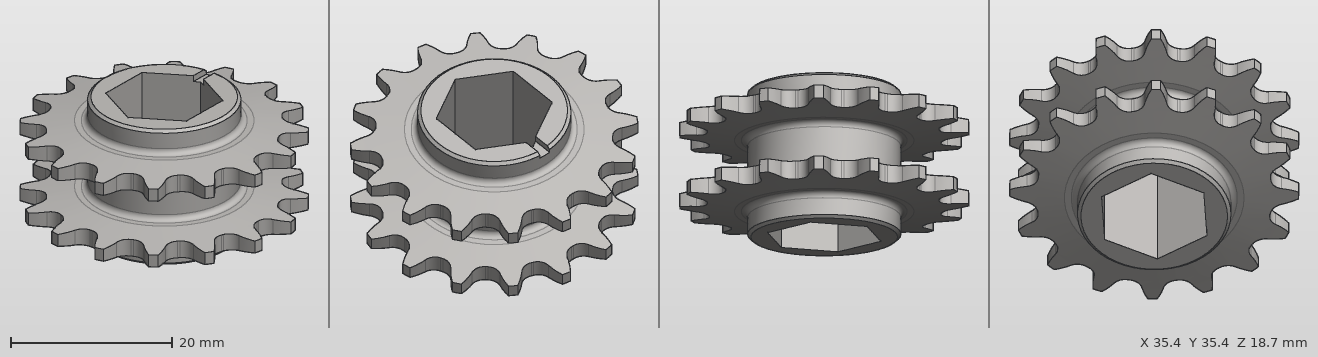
import cadquery as cq
import math


OVERALL_WIDTH = 35.38
TOOTH_COUNT = 16
HALF_PITCH_ANGLE = math.pi / TOOTH_COUNT
TIP_WIDTH = 1.15
TIP_CHORD_DISTANCE = (OVERALL_WIDTH - TIP_WIDTH * math.sin(HALF_PITCH_ANGLE)) / 2 / math.cos(HALF_PITCH_ANGLE)
TIP_RADIUS = math.hypot(TIP_CHORD_DISTANCE, TIP_WIDTH / 2)
ROOT_RADIUS = 14.72
ROOT_FLAT_WIDTH = 0.32
SEAT_RADIUS = 1.75
SEAT_ANGLE = math.radians(66)

DISC_OFFSET = 4.55
DISC_THICKNESS = 3.0
DISC_FLAT_RADIUS = 11.15
TIP_THICKNESS = 1.65

HUB_RADIUS = 9.5
HUB_LENGTH = 18.68
HUB_FILLET = 0.78
CHAMFER_WIDTH = 0.42
CHAMFER_HEIGHT = 0.35

HEX_ACROSS_FLATS = 12.7
NOTCH_WIDTH = 1.6
NOTCH_DEPTH = 0.8

CLEARANCE = 1.77


def tooth_gap():
    """Cutter for the tooth gap centred on +Y, open beyond the tip circle.

    Each flank leaves a short flat root as a concave roller seat, then turns smoothly
    into a convex arc that ends at the corner of the tooth tip.
    """
    seat_centre_x = ROOT_FLAT_WIDTH / 2
    seat_centre_y = ROOT_RADIUS + SEAT_RADIUS
    root_end = (seat_centre_x, ROOT_RADIUS)
    seat_end = (
        seat_centre_x + SEAT_RADIUS * math.sin(SEAT_ANGLE),
        seat_centre_y - SEAT_RADIUS * math.cos(SEAT_ANGLE),
    )
    tip_angle = HALF_PITCH_ANGLE - math.asin(TIP_WIDTH / 2 / TIP_RADIUS)
    tip = (TIP_RADIUS * math.sin(tip_angle), TIP_RADIUS * math.cos(tip_angle))
    outer = (tip[0], TIP_RADIUS + CLEARANCE)

    right_flank = (
        cq.Workplane("XY", origin=(0, 0, -HUB_LENGTH / 2))
        .moveTo(0, ROOT_RADIUS)
        .lineTo(*root_end)
        .tangentArcPoint(seat_end, relative=False)
        .tangentArcPoint(tip, relative=False)
        .lineTo(*outer)
        .lineTo(0, outer[1])
    )
    return right_flank.mirrorY().extrude(HUB_LENGTH)


def blank():
    """Turned body: hub with chamfered rims, filleted into two discs that taper to their tips."""
    hub_top = HUB_LENGTH / 2
    rim_radius = HUB_RADIUS - CHAMFER_WIDTH
    fillet_outer = HUB_RADIUS + HUB_FILLET
    fillet_inset = HUB_FILLET * (1 - math.sqrt(0.5))
    fillet_mid = HUB_RADIUS + fillet_inset

    profile = (
        cq.Workplane("XZ")
        .moveTo(0, -hub_top)
        .lineTo(rim_radius, -hub_top)
        .lineTo(HUB_RADIUS, -hub_top + CHAMFER_HEIGHT)
    )
    for disc_middle in (-DISC_OFFSET, DISC_OFFSET):
        bottom = disc_middle - DISC_THICKNESS / 2
        top = disc_middle + DISC_THICKNESS / 2
        profile = (
            profile.lineTo(HUB_RADIUS, bottom - HUB_FILLET)
            .threePointArc((fillet_mid, bottom - fillet_inset), (fillet_outer, bottom))
            .lineTo(DISC_FLAT_RADIUS, bottom)
            .lineTo(TIP_RADIUS, disc_middle - TIP_THICKNESS / 2)
            .lineTo(TIP_RADIUS, disc_middle + TIP_THICKNESS / 2)
            .lineTo(DISC_FLAT_RADIUS, top)
            .lineTo(fillet_outer, top)
            .threePointArc((fillet_mid, top + fillet_inset), (HUB_RADIUS, top + HUB_FILLET))
        )
    return (
        profile.lineTo(HUB_RADIUS, hub_top - CHAMFER_HEIGHT)
        .lineTo(rim_radius, hub_top)
        .lineTo(0, hub_top)
        .close()
        .revolve(360, (0, 0, 0), (0, 1, 0))
    )


def hex_bore():
    """Through hexagon with two corners on the Y axis."""
    across_corners = HEX_ACROSS_FLATS / math.cos(math.pi / 6)
    return (
        cq.Workplane("XY", origin=(0, 0, -HUB_LENGTH / 2))
        .transformed(rotate=(0, 0, 90))
        .polygon(6, across_corners)
        .extrude(HUB_LENGTH)
    )


def rim_notch():
    """Shallow notch in the top face, from the bore out through the +Y rim."""
    return (
        cq.Workplane("XY", origin=(0, 0, HUB_LENGTH / 2 - NOTCH_DEPTH))
        .rect(NOTCH_WIDTH, HUB_RADIUS + CLEARANCE, centered=(True, False))
        .extrude(NOTCH_DEPTH)
    )


result = blank()
gap = tooth_gap()
for index in range(TOOTH_COUNT):
    result = result.cut(gap.rotate((0, 0, 0), (0, 0, 1), index * 360 / TOOTH_COUNT))
result = result.cut(hex_bore()).cut(rim_notch())